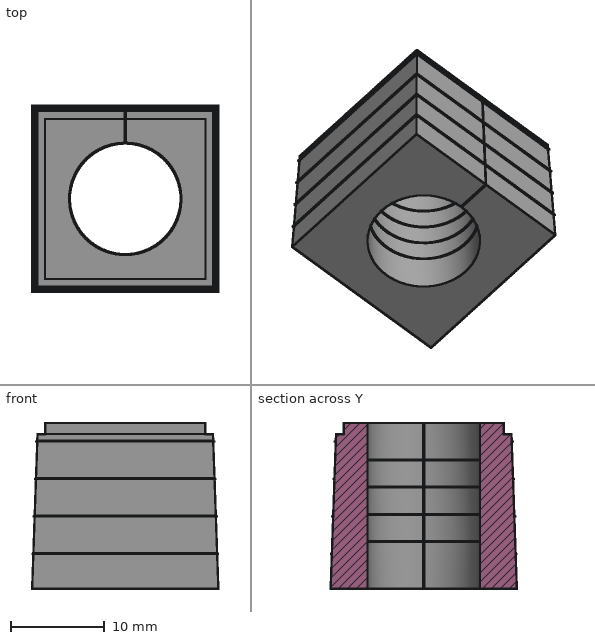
import cadquery as cq
import math

base_width = 19.9
total_height = 17.7
taper_angle = 2.0
top_plate_width = 17.1
top_plate_height = 1.2
shoulder_height = total_height - top_plate_height

first_rib_height = 3.7
rib_pitch = 4.0
rib_count = 4
rib_height = 0.1
rib_projection = 0.1

bore_diameter = 12.0
bore_radius = bore_diameter / 2
bore_rib_projection = 0.1
bore_rib_height = 0.1
bore_rib_pitch = 2.9
bore_rib_count = 4
first_bore_rib_depth = 4.0

slit_width = 0.1


def body_width(z):
    """Width of the tapered body at height z."""
    return base_width - 2 * z * math.tan(math.radians(taper_angle))


def square_block(width, bottom, height):
    return cq.Workplane("XY").workplane(offset=bottom).rect(width, width).extrude(height)


def square_frustum(bottom_width, top_width, bottom, height):
    return (
        cq.Workplane("XY")
        .workplane(offset=bottom)
        .rect(bottom_width, bottom_width)
        .workplane(offset=height)
        .rect(top_width, top_width)
        .loft(ruled=True)
    )


def make_body():
    body = square_frustum(base_width, body_width(shoulder_height), 0, shoulder_height)
    return body.union(square_block(top_plate_width, shoulder_height, top_plate_height))


def outer_rib(bottom):
    """Rib with a flat underside and a sloping top that runs back to the body."""
    rib_top = bottom + rib_height
    return square_frustum(body_width(bottom) + 2 * rib_projection, body_width(rib_top), bottom, rib_height)


def bore_rib(bottom):
    """Sharp-edged ring inside the bore with a flat underside and a sloping top."""
    profile = [
        (bore_radius, bottom),
        (bore_radius - bore_rib_projection, bottom),
        (bore_radius, bottom + bore_rib_height),
    ]
    return cq.Workplane("XZ").polyline(profile).close().revolve(360, (0, 0, 0), (0, 1, 0))


def make_bore():
    return cq.Workplane("XY").circle(bore_radius).extrude(total_height)


def make_slit():
    slit = cq.Workplane("XY").rect(slit_width, base_width)
    return slit.extrude(total_height).translate((0, base_width / 2, 0))


result = make_body()
for i in range(rib_count):
    result = result.union(outer_rib(first_rib_height + i * rib_pitch))

result = result.cut(make_bore())
for i in range(bore_rib_count):
    result = result.union(bore_rib(total_height - first_bore_rib_depth - i * bore_rib_pitch))

result = result.cut(make_slit())